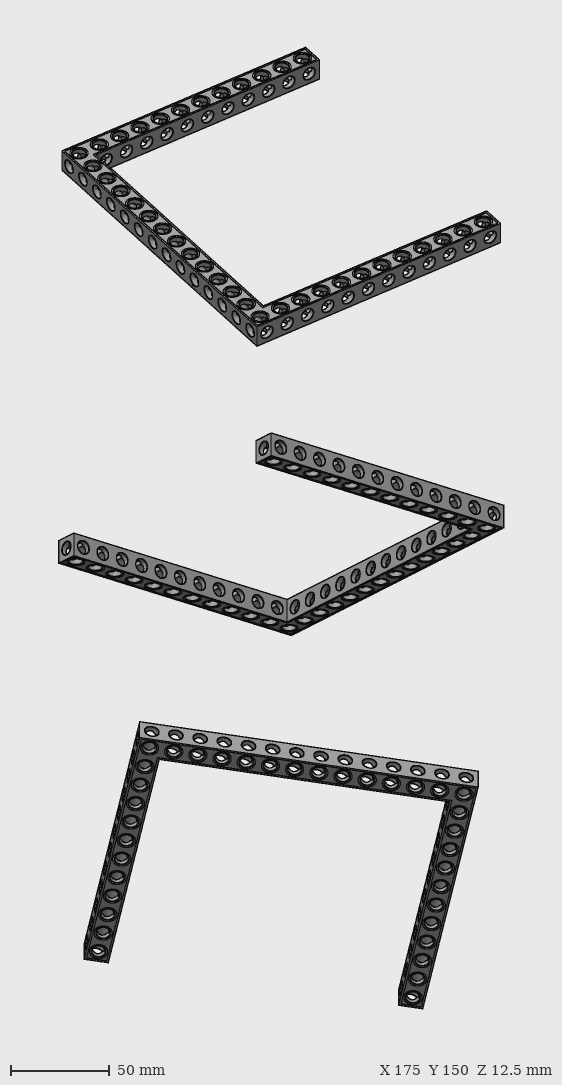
import cadquery as cq

length = 175.0
base_holes = 14
arm_holes = 12
hole_diameter = 7.0
mouth_diameter = 7.5
mouth_depth = 0.2
counterbore_diameter = 9.3
counterbore_depth = 0.2
rim_width = 1.0
rim_height = 0.2

pitch = length / base_holes
depth = arm_holes * pitch
height = pitch
floor_z = height / 2 - rim_height
counterbore_z = floor_z - counterbore_depth

base_centres = [(i + 0.5) * pitch for i in range(base_holes)]
arm_centres = [(j + 0.5) * pitch for j in range(arm_holes)]
arm_lines = [base_centres[0], base_centres[-1]]


def u_prism(inset, bottom, top):
    """U-shaped prism open toward +Y, its outline moved inward by inset."""
    left, right = inset, length - inset
    front, back = inset, depth - inset
    inner_left, inner_right = pitch - inset, length - pitch + inset
    inner_front = pitch - inset
    return (
        cq.Workplane("XY")
        .workplane(offset=bottom)
        .polyline([
            (left, front),
            (right, front),
            (right, back),
            (inner_right, back),
            (inner_right, inner_front),
            (inner_left, inner_front),
            (inner_left, back),
            (left, back),
        ])
        .close()
        .extrude(top - bottom)
    )


def cylinders(plane, points, diameter, start, end):
    """Cylinders at the given points, from start to end along the named world axis."""
    return (
        cq.Workplane(plane)
        .workplane(offset=start)
        .pushPoints(points)
        .circle(diameter / 2)
        .extrude(end - start)
    )


def recess_faces(frame):
    """Lower the top and bottom faces inside a narrow border."""
    frame = frame.cut(u_prism(rim_width, floor_z, height / 2))
    return frame.cut(u_prism(rim_width, -height / 2, -floor_z))


def drill_vertical_holes(frame):
    """Through holes along the base and arms, stepped at the top and bottom."""
    centres = [(x, pitch / 2) for x in base_centres]
    centres += [(x, y) for x in arm_lines for y in arm_centres[1:]]
    mouth_z = counterbore_z - mouth_depth
    frame = frame.cut(cylinders("XY", centres, hole_diameter, -height / 2, height / 2))
    for diameter, low in ((counterbore_diameter, counterbore_z), (mouth_diameter, mouth_z)):
        frame = frame.cut(cylinders("XY", centres, diameter, low, height / 2))
        frame = frame.cut(cylinders("XY", centres, diameter, -height / 2, -low))
    return frame


def drill_x_holes(frame):
    """Holes parallel to X through the base and across both arms."""
    every_row = [(y, 0) for y in arm_centres]
    frame = frame.cut(cylinders("YZ", every_row, hole_diameter, 0, length))
    arm_rows = every_row[1:]
    mouths = [
        (every_row, 0, mouth_depth),
        (arm_rows, pitch - mouth_depth, pitch),
        (arm_rows, length - pitch, length - pitch + mouth_depth),
        (every_row, length - mouth_depth, length),
    ]
    for points, start, end in mouths:
        frame = frame.cut(cylinders("YZ", points, mouth_diameter, start, end))
    return frame


def drill_y_holes(frame):
    """Holes parallel to Y across the base and lengthwise through both arms."""
    every_row = [(0, x) for x in base_centres]
    frame = frame.cut(cylinders("ZX", every_row, hole_diameter, 0, depth))
    mouths = [
        (every_row, 0, mouth_depth),
        (every_row[1:-1], pitch - mouth_depth, pitch),
        ([every_row[0], every_row[-1]], depth - mouth_depth, depth),
    ]
    for points, start, end in mouths:
        frame = frame.cut(cylinders("ZX", points, mouth_diameter, start, end))
    return frame


frame = u_prism(0, -height / 2, height / 2)
frame = recess_faces(frame)
frame = drill_vertical_holes(frame)
frame = drill_x_holes(frame)
result = drill_y_holes(frame)